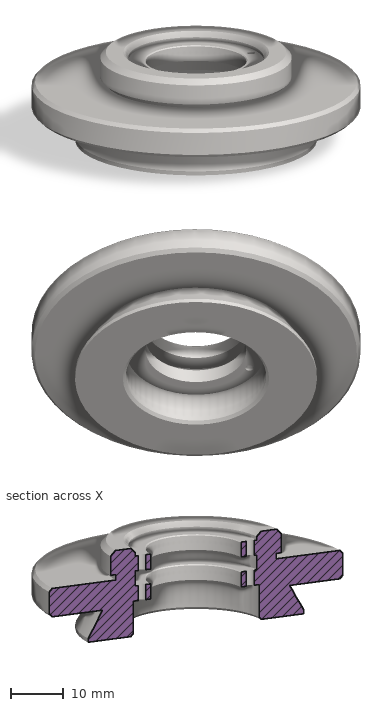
import cadquery as cq
import math

total_height = 17.45
base_rim_height = 0.79
flange_bottom = 5.94
flange_top = 11.63
collar_bottom = 12.60

flange_radius = 62.48 / 2
base_radius = 45.92 / 2
collar_radius = 36.37 / 2
neck_radius = 34.29 / 2
collar_chamfer = collar_radius - neck_radius
flange_chamfer = 0.66
skirt_angle = math.radians(30)

upper_web_top_depth = 1.61
upper_web_bottom_depth = 4.65
lower_web_top_depth = 7.48

bore_radius = 19.11 / 2
bore_chamfer = 0.2
recess_radius = 25.72 / 2
recess_chamfer = 0.98
upper_web_top = total_height - upper_web_top_depth
upper_web_bottom = total_height - upper_web_bottom_depth
lower_web_top = total_height - lower_web_top_depth
counterbore_top = 6.9
counterbore_radius = 26.67 / 2
counterbore_chamfer = 0.54

pin_hole_diameter = 1.57
pin_hole_offset = 11.47


def revolve_profile(points):
    """Turn a (radius, height) outline into a solid around the Z axis."""
    return cq.Workplane("XZ").polyline(points).close().revolve(360, (0, 0, 0), (0, 1, 0))


def make_disc_body():
    """Flared skirt, chamfered flange, neck and chamfered collar."""
    skirt_top_radius = base_radius - (flange_bottom - base_rim_height) * math.tan(skirt_angle)
    return revolve_profile([
        (0, 0),
        (base_radius, 0),
        (base_radius, base_rim_height),
        (skirt_top_radius, flange_bottom),
        (flange_radius - flange_chamfer, flange_bottom),
        (flange_radius, flange_bottom + flange_chamfer),
        (flange_radius, flange_top - flange_chamfer),
        (flange_radius - flange_chamfer, flange_top),
        (neck_radius, flange_top),
        (neck_radius, collar_bottom),
        (collar_radius, collar_bottom),
        (collar_radius, total_height - collar_chamfer),
        (collar_radius - collar_chamfer, total_height),
        (0, total_height),
    ])


def make_bore():
    """Stepped opening from the top recess down to the bottom counterbore."""
    return revolve_profile([
        (0, 0),
        (counterbore_radius + counterbore_chamfer, 0),
        (counterbore_radius, counterbore_chamfer),
        (counterbore_radius, counterbore_top),
        (bore_radius, counterbore_top),
        (bore_radius, lower_web_top - bore_chamfer),
        (bore_radius + bore_chamfer, lower_web_top),
        (recess_radius, lower_web_top),
        (recess_radius, upper_web_bottom),
        (bore_radius, upper_web_bottom),
        (bore_radius, upper_web_top - bore_chamfer),
        (bore_radius + bore_chamfer, upper_web_top),
        (recess_radius, upper_web_top),
        (recess_radius, total_height - recess_chamfer),
        (recess_radius + recess_chamfer, total_height),
        (0, total_height),
    ])


def make_pin_holes():
    """Two opposite through holes on the Y axis."""
    return (
        cq.Workplane("XY")
        .pushPoints([(0, pin_hole_offset), (0, -pin_hole_offset)])
        .circle(pin_hole_diameter / 2)
        .extrude(total_height)
    )


result = make_disc_body().cut(make_bore()).cut(make_pin_holes())